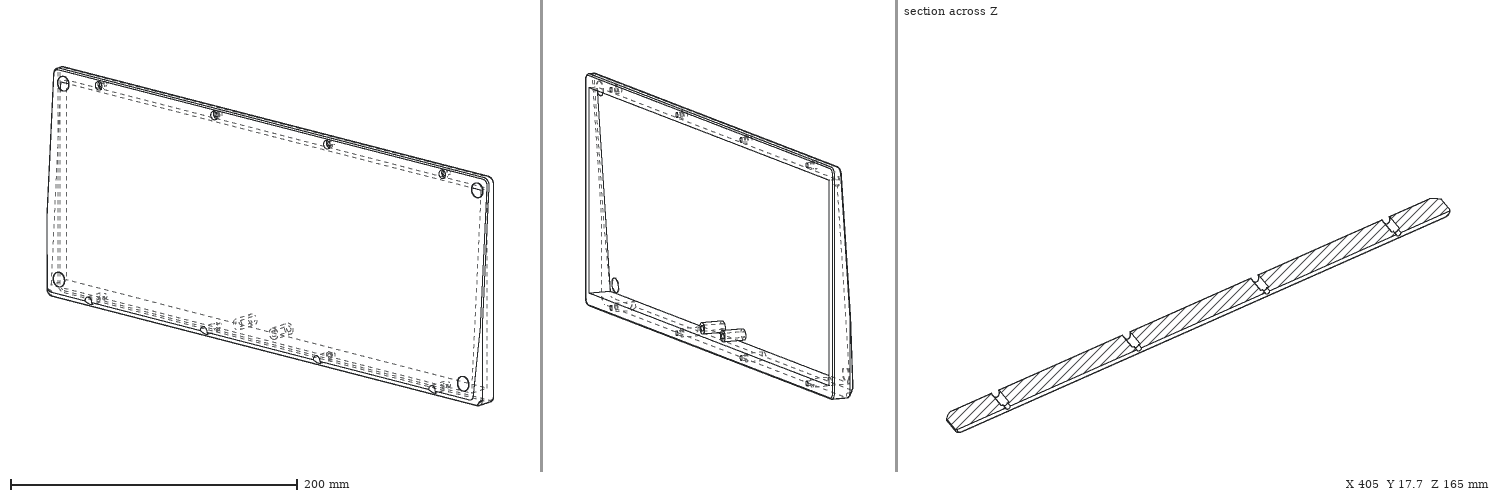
import cadquery as cq
import math

WIDTH = 405.0
HEIGHT = 165.0
DEPTH = 17.72
TOP_Z = HEIGHT / 2
BOTTOM_Z = -TOP_Z
CORNER_RADIUS = 5.0
EDGE_CHAMFER = 1.0

TOP_DEPTH = 6.5
BEVEL_START_DEPTH = 13.0
BEVEL_RISE = DEPTH - BEVEL_START_DEPTH
FRONT_SLOPE = (DEPTH - TOP_DEPTH) / (HEIGHT - BEVEL_RISE)
FRONT_ANGLE = math.degrees(math.atan(FRONT_SLOPE))

BEVEL_OVERRUN = 1.0
BEVEL = BEVEL_RISE + BEVEL_OVERRUN

FLOOR_THICKNESS = 1.0
SIDE_WALL = 7.0
END_WALL = 9.5

POST_X = (-22.5, 11.0)
POST_Z = -67.0
POST_DIAMETER = 8.0
POST_BORE = 4.0

SCREW_X = (-159.8, -52.5, 52.5, 159.8)
SCREW_INSET = 5.0
SCREW_Z = (BOTTOM_Z + SCREW_INSET, TOP_Z - SCREW_INSET)
SCREW_DIAMETER = 3.4
SCREW_HEAD_DIAMETER = 6.0
SCREW_SEAT_DEPTH = 4.0

FOOT_DIAMETER = 10.5
FOOT_RECESS = 0.5
TOP_FOOT = (192.5, 72.5)
BOTTOM_FOOT = (188.0, -67.5)


def front_y(z):
    """Y of the sloping front panel at height z."""
    return -(TOP_DEPTH + FRONT_SLOPE * (TOP_Z - z))


def wedge(width, bottom_z, top_z, front_offset):
    """Wedge from the back plane to a slope set back from the front panel by front_offset in Y."""
    return (
        cq.Workplane("YZ", origin=(-width / 2, 0, 0))
        .moveTo(0, top_z)
        .lineTo(front_y(top_z) + front_offset, top_z)
        .lineTo(front_y(bottom_z) + front_offset, bottom_z)
        .lineTo(0, bottom_z)
        .close()
        .extrude(width)
    )


def cylinder(x, z, diameter, start_depth=0.0):
    """Cylinder along Y from start_depth to the deepest line of the part."""
    start = cq.Workplane("XZ", origin=(x, -start_depth, z))
    return start.circle(diameter / 2).extrude(DEPTH - start_depth)


def make_body():
    """Bevelled block with rounded corners, trimmed by the front panel and chamfered."""
    block = (
        cq.Workplane("XZ")
        .rect(WIDTH, HEIGHT)
        .extrude(BEVEL_START_DEPTH + BEVEL)
        .faces("<Y")
        .chamfer(BEVEL)
        .edges("not(|X or |Z)")
        .fillet(CORNER_RADIUS)
    )
    body = block.intersect(wedge(WIDTH, BOTTOM_Z, TOP_Z, 0))
    body = body.faces(">Y").edges().chamfer(EDGE_CHAMFER)
    top_front_edge = cq.selectors.NearestToPointSelector((0, -TOP_DEPTH, TOP_Z))
    return body.edges(top_front_edge).chamfer(EDGE_CHAMFER)


def make_cavity():
    """Space inside the walls, less the posts that stand in it."""
    floor_offset = FLOOR_THICKNESS / math.cos(math.radians(FRONT_ANGLE))
    cavity = wedge(WIDTH - 2 * SIDE_WALL, BOTTOM_Z + END_WALL, TOP_Z - END_WALL, floor_offset)
    for x in POST_X:
        post = cylinder(x, POST_Z, POST_DIAMETER)
        cavity = cavity.cut(post.cut(cylinder(x, POST_Z, POST_BORE)))
    return cavity


def make_screw_hole(x, z):
    """Through hole with a counterbore open to the front."""
    return cylinder(x, z, SCREW_DIAMETER).union(cylinder(x, z, SCREW_HEAD_DIAMETER, SCREW_SEAT_DEPTH))


def make_foot_recess(x, z):
    """Round recess cut square into the front panel."""
    return (
        cq.Workplane("XZ", origin=(x, front_y(z), z))
        .transformed(rotate=(-FRONT_ANGLE, 0, 0))
        .circle(FOOT_DIAMETER / 2)
        .extrude(FOOT_RECESS, both=True)
    )


result = make_body().cut(make_cavity())
for hole_x in SCREW_X:
    for hole_z in SCREW_Z:
        result = result.cut(make_screw_hole(hole_x, hole_z))
for foot_x, foot_z in (TOP_FOOT, BOTTOM_FOOT):
    for side in (-1, 1):
        result = result.cut(make_foot_recess(side * foot_x, foot_z))